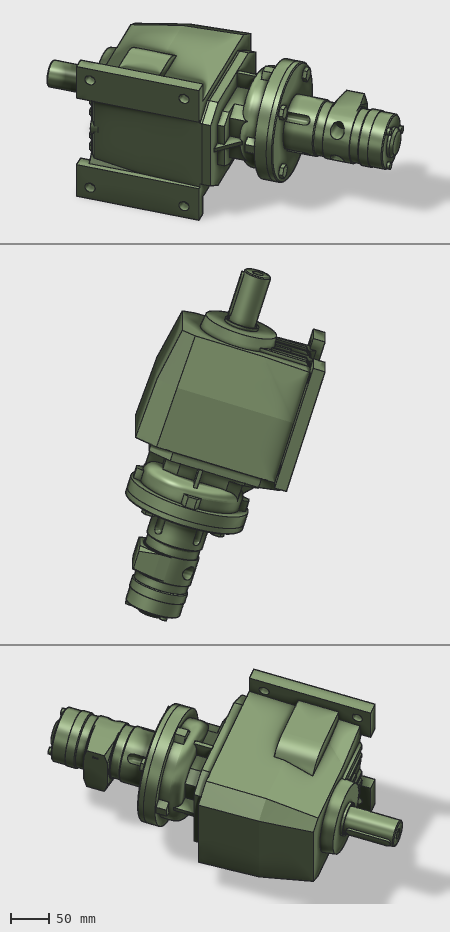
import cadquery as cq
import math

LENGTH = 478.0

shaft_diameter = 36.0
shaft_chamfer = 1.5
centre_hole_radius = 3.0
centre_hole_mouth = 7.0
centre_hole_depth = 14.5
key_start = 3.5
key_end = 65.5
key_width = 10.0
key_top = 20.5
seal_start = 69.0
seal_diameter = 45.5
seal_groove_radius = 20.5
seal_groove_depth = 2.0

cover_start = 72.5
cover_front_radius = 48.5
cover_back_radius = 50.5

housing_start = 90.0
taper_end = 160.5
housing_end = 244.0
gearbox_end = 246.5

front_half_width = 59.8
middle_half_width = 72.5
back_half_width = 75.5
front_section = (75.0, 50.5, 57.5, front_half_width)
middle_section = (87.5, 57.5, 60.0, middle_half_width)
back_section = (91.0, 59.0, 62.0, back_half_width)
flare_start = -36.5
flare_half_width = 70.0

foot_bottom = -115.0
foot_thickness = 16.3
foot_top = foot_bottom + foot_thickness
foot_start = 75.0
foot_inner = 52.5
foot_span = 205.0
foot_outer = foot_span / 2
foot_hole_diameter = 14.0
foot_hole_stations = (93.5, 223.0)
foot_hole_spacing = 169.5

floor_taper_bottom = -107.0
floor_bottom = -111.0
floor_front_edge = -97.5
floor_chamfer = 5.0
floor_web_bottom = -107.5
floor_web_inner = 40.0
plug_radius = 14.5
plug_bottom = -103.2
plug_end = 100.5

rib_start = 85.0
outer_rib = (32.0, 40.0)
inner_rib = (15.5, 21.0)
centre_rib_width = 7.0
centre_rib_bottom = -72.0

pad_start = 119.5
pad_end = 176.0
pad_top = 86.0
pad_arc_start = -41.5
pad_arc_radius = 48.0

plate_end = 258.5
plate_top = 68.0
plate_bottom = floor_bottom
plate_half_width = 65.5
plate_corner = (29.0, 17.5)
motor_axis_y = -3.5
neck_step = 268.0
neck_top = 42.0
neck_half_width = 41.0
neck_front_bottom = -84.0
neck_back_bottom = -63.5
neck_corner = (19.0, 10.0)
web_thickness = 5.3
web_half_width = 63.0
web_top = 63.0
web_bottom_front = -97.5
web_bottom_back = -68.5
web_bottom_end = 289.0
dome_start = 280.5
dome_fillet = 14.5
dome_fillet_end = dome_start + dome_fillet
dome_radius = 68.0
flange_start = 309.5
flange_diameter = 160.0
flange_radius = flange_diameter / 2
lug_radius = 76.5
lug_base_width = 23.5
lug_top_width = 12.0
adapter_end = 325.5

motor_flange_end = 334.0
motor_radius = 38.0
neck_radius = 36.0
neck_shoulder_length = 2.5
edge_chamfer = 1.5
front_barrel_end = 375.5
port_ring_start = 388.0
port_ring_end = 425.0
band_start = 436.5
band_end = 450.5
tail_radius = 37.0
tail_end = 470.5
cap_radius = 20.0
cap_chamfer = 4.0
bolt_height = 5.5
bolt_diameter = 19.0
bolt_offset = 46.5
tail_bolt_diameter = 9.5
tail_bolt_height = 4.5
tail_bolt_circle_radius = 31.0
slot_width = 13.0
slot_end = 367.0
port_x = 406.5
port_z = 22.0
port_diameter = 18.5
port_depth = 28.5
through_slot = (7.0, 2.0)
through_slot_z = 27.0
block_start = 389.5
block_end = 422.5
block_reach = 42.5
block_half_height = 37.0
block_flat_end = 14.5
block_corner_cut = 4.5
block_corner_depth = 14.5


def box(x_range, y_range, z_range):
    sizes = [high - low for low, high in (x_range, y_range, z_range)]
    corner = cq.Vector(x_range[0], y_range[0], z_range[0])
    return cq.Workplane("XY").add(cq.Solid.makeBox(*sizes, corner))


def prism_along_x(start, end, points):
    """Extrude an outline of (y, z) points from X = start to X = end."""
    return cq.Workplane("YZ", origin=(start, 0, 0)).polyline(points).close().extrude(end - start)


def prism_along_z(points, low, high):
    return cq.Workplane("XY", origin=(0, 0, low)).polyline(points).close().extrude(high - low)


def cylinder_along_x(start, end, radius, y=0.0, z=0.0):
    return cq.Workplane("YZ", origin=(start, y, z)).circle(radius).extrude(end - start)


def turned(profile, axis_y):
    """Revolve a closed sketch of (x, radius) points about the X direction at Y = axis_y."""
    return profile.close().revolve(360, (0, 0, 0), (1, 0, 0)).translate((0, axis_y, 0))


def tetrahedron(corners):
    faces = []
    for skipped in range(4):
        triangle = [cq.Vector(*p) for i, p in enumerate(corners) if i != skipped]
        faces.append(cq.Face.makeFromWires(cq.Wire.makePolygon(triangle, close=True)))
    return cq.Workplane("XY").add(cq.Solid.makeSolid(cq.Shell.makeShell(faces)))


def mirrored_in_z(shape):
    return shape.union(shape.mirror("XY"))


def cut_corner_outline(top, bottom, half_width, corner):
    """Rectangle of (y, z) points whose four corners are cut by (along y, along z)."""
    cut_y, cut_z = corner
    right = [
        (top, half_width - cut_z),
        (top - cut_y, half_width),
        (bottom + cut_y, half_width),
        (bottom, half_width - cut_z),
    ]
    return right + [(y, -z) for y, z in reversed(right)]


def housing_shell():
    def section(x, sizes):
        top, top_half, shoulder, half = sizes
        right = [(top, top_half), (shoulder, half), (foot_top, half)]
        outline = right + [(y, -z) for y, z in reversed(right)]
        return cq.Wire.makePolygon([cq.Vector(x, y, z) for y, z in outline], close=True)

    front = section(housing_start, front_section)
    middle = section(taper_end, middle_section)
    back = section(housing_end, back_section)
    shell = cq.Workplane("XY").add(cq.Solid.makeLoft([front, middle], True))
    shell = shell.union(cq.Workplane("XY").add(cq.Solid.makeLoft([middle, back], True)))
    flare = tetrahedron([
        (housing_start, flare_start, front_half_width),
        (housing_start, foot_top, front_half_width),
        (housing_start, foot_top, flare_half_width),
        (taper_end, foot_top, middle_half_width),
    ])
    return shell.union(mirrored_in_z(flare))


def housing_floor():
    outline = [
        (housing_start, flare_start),
        (housing_start, floor_front_edge),
        (housing_start + floor_chamfer, floor_front_edge - floor_chamfer),
        (taper_end, floor_taper_bottom),
        (housing_end, floor_bottom),
        (housing_end, flare_start),
    ]
    floor = prism_along_z(outline, -foot_inner, foot_inner)
    web = tetrahedron([
        (housing_start, floor_front_edge, floor_web_inner),
        (housing_start, floor_front_edge, foot_inner),
        (housing_start, floor_web_bottom, foot_inner),
        (taper_end, floor_taper_bottom, foot_inner),
    ])
    plug = cylinder_along_x(housing_start, plug_end, plug_radius, plug_bottom + plug_radius)
    return floor.union(mirrored_in_z(web)).union(plug)


def foot_plates():
    plate = box((foot_start, housing_end), (foot_bottom, foot_top), (foot_inner, foot_outer))
    holes = (
        cq.Workplane("XZ", origin=(0, foot_top, 0))
        .pushPoints([(x, foot_hole_spacing / 2) for x in foot_hole_stations])
        .circle(foot_hole_diameter / 2)
        .extrude(foot_thickness)
    )
    return mirrored_in_z(plate.cut(holes))


def front_ribs():
    depth = housing_start - rib_start
    rib_bottom = floor_front_edge + depth
    outline = [
        (rib_start, 0),
        (rib_start, rib_bottom),
        (housing_start, floor_front_edge),
        (housing_start, 0),
    ]
    ribs = box(
        (rib_start, housing_start),
        (centre_rib_bottom, 0),
        (-centre_rib_width / 2, centre_rib_width / 2),
    )
    for low, high in (outer_rib, inner_rib):
        ribs = ribs.union(mirrored_in_z(prism_along_z(outline, low, high)))
    return ribs


def side_pad():
    arc_centre_z = pad_top - pad_arc_radius
    arc_end_y = pad_arc_start + pad_arc_radius
    arc_mid = pad_arc_radius * math.sqrt(0.5)
    return (
        cq.Workplane("YZ", origin=(pad_start, 0, 0))
        .moveTo(foot_top, arc_centre_z)
        .lineTo(foot_top, pad_top)
        .lineTo(pad_arc_start, pad_top)
        .threePointArc(
            (pad_arc_start + arc_mid, arc_centre_z + arc_mid), (arc_end_y, arc_centre_z)
        )
        .close()
        .extrude(pad_end - pad_start)
    )


def bearing_cover():
    profile = (
        cq.Workplane("XY")
        .moveTo(cover_start, 0)
        .lineTo(cover_start, cover_front_radius)
        .lineTo(housing_start, cover_back_radius)
        .lineTo(housing_start, 0)
    )
    seal = cylinder_along_x(seal_start, cover_start, seal_diameter / 2)
    groove = cylinder_along_x(seal_start, seal_start + seal_groove_depth, seal_groove_radius)
    return turned(profile, 0).union(seal.cut(groove))


def output_shaft():
    shaft = cylinder_along_x(0, cover_start, shaft_diameter / 2).faces("<X").chamfer(shaft_chamfer)
    key = (
        cq.Workplane("XZ", origin=((key_start + key_end) / 2, 0, 0))
        .slot2D(key_end - key_start, key_width)
        .extrude(-key_top)
    )
    hole = cylinder_along_x(0, centre_hole_depth, centre_hole_radius)
    mouth = cq.Workplane("XY").add(
        cq.Solid.makeCone(
            centre_hole_mouth, 0, centre_hole_mouth, cq.Vector(0, 0, 0), cq.Vector(1, 0, 0)
        )
    )
    return shaft.union(key).cut(hole).cut(mouth)


def flange_plate(start, end):
    outline = cut_corner_outline(plate_top, plate_bottom, plate_half_width, plate_corner)
    return prism_along_x(start, end, outline)


def make_gearbox():
    gearbox = housing_shell()
    features = (
        housing_floor(),
        foot_plates(),
        side_pad(),
        front_ribs(),
        bearing_cover(),
        output_shaft(),
    )
    for feature in features:
        gearbox = gearbox.union(feature)
    return gearbox.union(flange_plate(housing_end, gearbox_end))


def adapter_neck():
    front = cut_corner_outline(neck_top, neck_front_bottom, neck_half_width, neck_corner)
    back = cut_corner_outline(neck_top, neck_back_bottom, neck_half_width, neck_corner)
    front_block = prism_along_x(plate_end, neck_step, front)
    return front_block.union(prism_along_x(neck_step, dome_fillet_end, back))


def adapter_webs():
    half = web_thickness / 2
    side_web = box(
        (plate_end, dome_fillet_end),
        (motor_axis_y - half, motor_axis_y + half),
        (-web_half_width, web_half_width),
    )
    upright_web = prism_along_z(
        [
            (plate_end, web_top),
            (plate_end, web_bottom_front),
            (web_bottom_end, web_bottom_back),
            (dome_fillet_end, motor_axis_y),
            (dome_fillet_end, web_top),
        ],
        -half,
        half,
    )
    return side_web.union(upright_web)


def adapter_bell():
    flat_radius = dome_radius - dome_fillet
    arc_mid = dome_fillet * math.sqrt(0.5)
    profile = (
        cq.Workplane("XY")
        .moveTo(dome_start, 0)
        .lineTo(dome_start, flat_radius)
        .threePointArc((dome_fillet_end - arc_mid, flat_radius + arc_mid), (dome_fillet_end, dome_radius))
        .lineTo(flange_start, dome_radius)
        .lineTo(flange_start, flange_radius)
        .lineTo(adapter_end, flange_radius)
        .lineTo(adapter_end, 0)
    )
    return turned(profile, motor_axis_y)


def bell_lugs():
    """Four lugs on the bell; their flat undersides lie inside it."""
    base = lug_base_width / 2
    top = lug_top_width / 2
    base_height = math.sqrt(dome_radius**2 - base**2)
    outline = [(-base, base_height), (-top, lug_radius)]
    outline += [(-y, z) for y, z in reversed(outline)]
    lug = prism_along_x(dome_fillet_end, flange_start, outline)
    lugs = cq.Workplane("XY")
    for quarter in range(4):
        lugs = lugs.union(lug.rotate((0, 0, 0), (1, 0, 0), 90 * quarter))
    return lugs.translate((0, motor_axis_y, 0))


def make_adapter():
    adapter = flange_plate(gearbox_end, plate_end)
    for feature in (adapter_neck(), adapter_webs(), adapter_bell(), bell_lugs()):
        adapter = adapter.union(feature)
    return adapter


def motor_barrel():
    c = edge_chamfer
    outline = [
        (adapter_end, flange_radius),
        (motor_flange_end - c, flange_radius),
        (motor_flange_end, flange_radius - c),
        (motor_flange_end, motor_radius),
        (front_barrel_end - c, motor_radius),
        (front_barrel_end, motor_radius - c),
        (front_barrel_end + neck_shoulder_length, neck_radius),
        (port_ring_start, neck_radius),
        (port_ring_start, motor_radius),
        (port_ring_end, motor_radius),
        (port_ring_end, neck_radius),
        (band_start, neck_radius),
        (band_start, motor_radius - c),
        (band_start + c, motor_radius),
        (band_end, motor_radius),
        (band_end, tail_radius),
        (tail_end - c, tail_radius),
        (tail_end, tail_radius - c),
        (tail_end, cap_radius),
        (LENGTH - cap_chamfer, cap_radius),
        (LENGTH, cap_radius - cap_chamfer),
        (LENGTH, 0),
    ]
    profile = cq.Workplane("XY").moveTo(adapter_end, 0).polyline(outline, includeCurrent=True)
    return turned(profile, motor_axis_y)


def flange_bolts():
    offsets = [(y, z) for y in (-bolt_offset, bolt_offset) for z in (-bolt_offset, bolt_offset)]
    return (
        cq.Workplane("YZ", origin=(motor_flange_end, motor_axis_y, 0))
        .pushPoints(offsets)
        .polygon(6, bolt_diameter)
        .extrude(bolt_height)
    )


def tail_bolts():
    return (
        cq.Workplane("YZ", origin=(tail_end, motor_axis_y, 0))
        .polarArray(tail_bolt_circle_radius, 0, 360, 3)
        .circle(tail_bolt_diameter / 2)
        .extrude(tail_bolt_height)
    )


def bolt_access_slots():
    """Ball-ended grooves in the barrel, one behind each flange bolt."""
    radius = slot_width / 2
    ball_centre = slot_end - radius
    slot = cylinder_along_x(motor_flange_end, ball_centre, radius, z=motor_radius)
    slot = slot.union(cq.Workplane("XY", origin=(ball_centre, 0, motor_radius)).sphere(radius))
    slots = cq.Workplane("XY")
    for quarter in range(4):
        slots = slots.union(slot.rotate((0, 0, 0), (1, 0, 0), 45 + 90 * quarter))
    return slots.translate((0, motor_axis_y, 0))


def port_block():
    """Block on the +Y side whose flat top and bottom are tangent to the port ring."""
    upper = [(0, motor_radius), (block_flat_end, motor_radius), (block_reach, block_half_height)]
    outline = upper + [(y, -z) for y, z in reversed(upper)]
    block = prism_along_x(block_start, block_end, outline)
    for end, inset in ((block_start, block_corner_cut), (block_end, -block_corner_cut)):
        bevel = tetrahedron([
            (end, block_reach, block_half_height),
            (end + inset, block_reach, block_half_height),
            (end, block_reach, block_half_height - block_corner_depth),
            (end, block_flat_end, motor_radius),
        ])
        block = block.cut(bevel).cut(bevel.mirror("XY"))
    return block.translate((0, motor_axis_y, 0))


def oil_ports():
    front_y = motor_axis_y - motor_radius
    ports = (
        cq.Workplane("XZ", origin=(port_x, front_y, 0))
        .pushPoints([(0, port_z), (0, -port_z)])
        .circle(port_diameter / 2)
        .extrude(-port_depth)
    )
    slot = (
        cq.Workplane("XZ", origin=(port_x, front_y, through_slot_z))
        .rect(*through_slot)
        .extrude(-(motor_radius + block_reach))
    )
    return ports.union(slot)


def make_motor():
    motor = motor_barrel().union(port_block()).union(flange_bolts()).union(tail_bolts())
    return motor.cut(bolt_access_slots()).cut(oil_ports())


gearbox = make_gearbox()
adapter = make_adapter()
motor = make_motor()
result = cq.Compound.makeCompound([body.solids().val() for body in (gearbox, adapter, motor)])